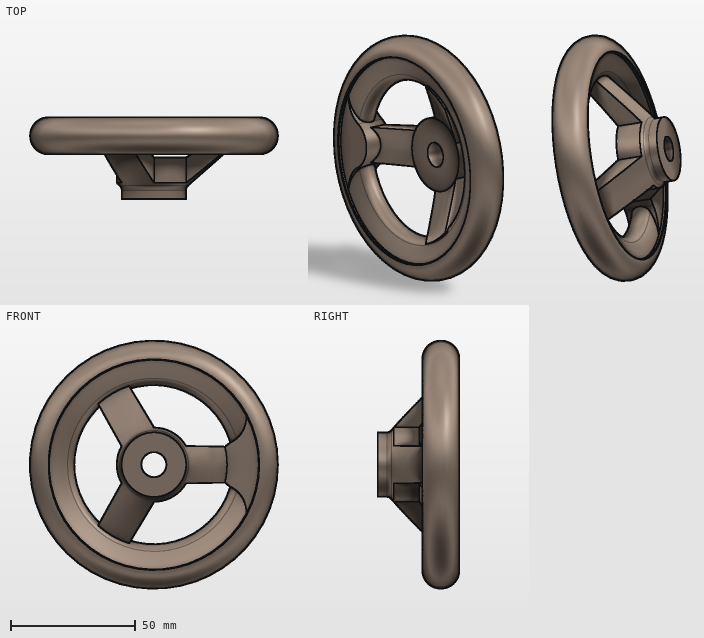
import cadquery as cq
import math


rim_diameter = 100.0
rim_thickness = 15.0
rim_tube_radius = rim_thickness / 2
rim_tube_centre = rim_diameter / 2 - rim_tube_radius
rim_lip_width = 0.3
rim_lip_radius = rim_tube_centre - rim_lip_width
rim_lip_depth = 1.3
rim_inner_radius = 32.0
nose_radius = 4.1
nose_centre = rim_inner_radius + nose_radius

hub_radius = 15.0
hub_face_radius = 13.0
hub_back_gap = 1.2
hub_overhang = 18.0
hub_back_height = rim_tube_radius + hub_back_gap
hub_face_height = rim_tube_radius + hub_overhang
hub_fillet_radius = 2.6
bore_diameter = 10.0

spoke_count = 3
spoke_root_width = 15.6
spoke_side_taper = math.radians(1.0)
spoke_end_radius = 34.5
front_cone_slope = 0.88
front_cone_base_radius = 28.0
back_cone_slope = 0.7

slab_clearance = 1.0
slab_bottom = -rim_thickness
slab_top = hub_face_height + slab_clearance

boss_centre = 36.0
boss_radius = 10.3
boss_height = rim_tube_radius - rim_lip_depth
boss_fillet_radius = 11.2
boss_fillet_x = 26.0
boss_back_height = -boss_height


def front_cone_height(radius):
    """Height of the front cone shared by the spokes and the hub shoulder."""
    return rim_tube_radius + front_cone_slope * (front_cone_base_radius - radius)


def back_cone_height(radius):
    """Height of the cone behind the spokes."""
    return hub_back_height - back_cone_slope * (radius - hub_radius)


def point(radius, height):
    """Profile point in the XY plane, with the hub face towards -Y."""
    return (radius, -height)


def revolved(profile):
    """Close a profile and turn it about the Y axis."""
    return profile.close().revolve(360, (0, 0, 0), (0, 1, 0))


def axial_cylinder(radius, bottom, top):
    """Cylinder on the wheel axis."""
    return cq.Workplane("XZ", origin=(0, -bottom, 0)).circle(radius).extrude(top - bottom)


def make_rim():
    lip_height = rim_tube_radius - rim_lip_depth
    chamfer_height = rim_tube_radius - rim_lip_width
    reach = rim_lip_radius - nose_centre
    tangent_angle = math.atan2(lip_height, reach) + math.acos(nose_radius / math.hypot(reach, lip_height))
    tangent_radius = nose_centre + nose_radius * math.cos(tangent_angle)
    tangent_height = nose_radius * math.sin(tangent_angle)
    return revolved(
        cq.Workplane("XY")
        .moveTo(*point(rim_tube_centre, rim_tube_radius))
        .threePointArc(point(rim_diameter / 2, 0), point(rim_tube_centre, -rim_tube_radius))
        .lineTo(*point(rim_lip_radius, -chamfer_height))
        .lineTo(*point(rim_lip_radius, -lip_height))
        .lineTo(*point(tangent_radius, -tangent_height))
        .threePointArc(point(rim_inner_radius, 0), point(tangent_radius, tangent_height))
        .lineTo(*point(rim_lip_radius, lip_height))
        .lineTo(*point(rim_lip_radius, chamfer_height))
    )


def make_hub_and_spoke_envelope():
    """Hub with a full conical skirt, from which the spokes are cut."""
    slope_angle = math.atan(front_cone_slope)
    fillet_centre = hub_face_radius + hub_fillet_radius
    fillet_start_radius = fillet_centre - hub_fillet_radius * math.sin(slope_angle)
    fillet_start_height = front_cone_height(fillet_start_radius)
    fillet_centre_height = fillet_start_height + hub_fillet_radius * math.cos(slope_angle)
    middle_angle = (math.pi / 2 - slope_angle) / 2
    middle_radius = fillet_centre - hub_fillet_radius * math.cos(middle_angle)
    middle_height = fillet_centre_height - hub_fillet_radius * math.sin(middle_angle)
    return revolved(
        cq.Workplane("XY")
        .moveTo(*point(0, hub_back_height))
        .lineTo(*point(hub_radius, hub_back_height))
        .lineTo(*point(spoke_end_radius, back_cone_height(spoke_end_radius)))
        .lineTo(*point(spoke_end_radius, front_cone_height(spoke_end_radius)))
        .lineTo(*point(fillet_start_radius, fillet_start_height))
        .threePointArc(
            point(middle_radius, middle_height),
            point(hub_face_radius, fillet_centre_height),
        )
        .lineTo(*point(hub_face_radius, hub_face_height))
        .lineTo(*point(0, hub_face_height))
    )


def make_spoke_slab(angle):
    """Slab along the wheel axis with the tapered outline of one spoke."""
    root_half = spoke_root_width / 2
    outer_radius = spoke_end_radius + slab_clearance
    tip_half = root_half - outer_radius * math.tan(spoke_side_taper)
    slab = (
        cq.Workplane("XZ", origin=(0, -slab_bottom, 0))
        .polyline([
            (0, -root_half),
            (outer_radius, -tip_half),
            (outer_radius, tip_half),
            (0, root_half),
        ])
        .close()
        .extrude(slab_top - slab_bottom)
    )
    return slab.rotate((0, 0, 0), (0, -1, 0), angle)


def make_hub_and_spokes():
    footprint = axial_cylinder(hub_radius, slab_bottom, slab_top)
    for index in range(spoke_count):
        footprint = footprint.union(make_spoke_slab(index * 360 / spoke_count))
    return make_hub_and_spoke_envelope().intersect(footprint)


def make_boss():
    """Round boss that flares into the rim through a concave fillet on each side."""
    fillet_z = math.sqrt((boss_radius + boss_fillet_radius) ** 2 - (boss_centre - boss_fillet_x) ** 2)
    share = boss_radius / (boss_radius + boss_fillet_radius)
    tangent_x = boss_centre + share * (boss_fillet_x - boss_centre)
    tangent_z = share * fillet_z
    flare_end = boss_fillet_x + boss_fillet_radius
    mid_angle = math.atan2(tangent_z - fillet_z, tangent_x - boss_fillet_x) / 2
    flare_mid_x = boss_fillet_x + boss_fillet_radius * math.cos(mid_angle)
    flare_mid_z = fillet_z + boss_fillet_radius * math.sin(mid_angle)
    lip_z = math.sqrt(rim_lip_radius ** 2 - flare_end ** 2)
    return (
        cq.Workplane("XZ", origin=(0, -boss_back_height, 0))
        .moveTo(tangent_x, -tangent_z)
        .threePointArc((boss_centre - boss_radius, 0), (tangent_x, tangent_z))
        .threePointArc((flare_mid_x, flare_mid_z), (flare_end, fillet_z))
        .lineTo(flare_end, lip_z)
        .threePointArc((rim_lip_radius, 0), (flare_end, -lip_z))
        .lineTo(flare_end, -fillet_z)
        .threePointArc((flare_mid_x, -flare_mid_z), (tangent_x, -tangent_z))
        .close()
        .extrude(boss_height - boss_back_height)
    )


hub_and_spokes = make_hub_and_spokes()
bore = axial_cylinder(bore_diameter / 2, hub_back_height, hub_face_height)
wheel = hub_and_spokes.union(make_rim()).union(make_boss()).cut(bore)
result = wheel.solids()